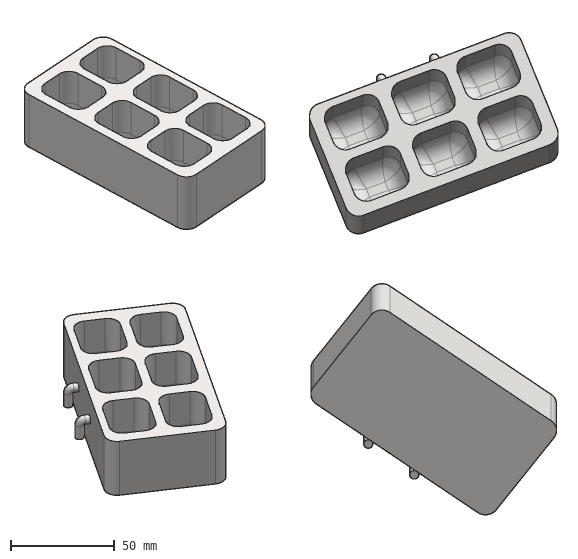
import cadquery as cq

length = 109.5
width = 60.0
height = 31.8
block_corner_radius = 6.5

pocket_length = 28.0
pocket_width = 22.9
pocket_depth = 28.5
pocket_corner_radius = 6.4
pocket_floor_radius = 9.2
row_count = 2
row_pitch = 27.7
front_pocket_centres = [(-34.4, -13.0), (0.3, -13.3), (34.3, -12.9)]

pin_diameter = 4.5
pin_bend_radius = 2.4
pin_bend_angle = 90
pin_reach = 7.1
pin_height = 17.6
pin_tip_height = 7.8
pin_xs = [-13.6, 13.9]


def make_block():
    block = cq.Workplane("XY").box(length, width, height, centered=(True, True, False))
    return block.edges("|Z").fillet(block_corner_radius)


def make_pocket(x, y):
    """Rounded rectangular cavity whose floor blends into its walls."""
    floor_z = height - pocket_depth
    cavity = (
        cq.Workplane("XY", origin=(x, y, floor_z))
        .rect(pocket_length, pocket_width)
        .extrude(pocket_depth)
        .edges("|Z")
        .fillet(pocket_corner_radius)
    )
    return cavity.faces("<Z").edges().fillet(pocket_floor_radius)


def make_pin(x):
    """Round pin that leaves the back face and turns down through a right angle."""
    back_y = width / 2
    axis_y = back_y + pin_reach - pin_diameter / 2
    bend_y = axis_y - pin_bend_radius
    bend_z = pin_height - pin_bend_radius
    arm = (
        cq.Workplane("XZ", origin=(x, bend_y, pin_height))
        .circle(pin_diameter / 2)
        .extrude(bend_y - back_y)
    )
    elbow = (
        cq.Workplane("XY", origin=(x, axis_y, bend_z))
        .circle(pin_diameter / 2)
        .revolve(pin_bend_angle, (0, -pin_bend_radius, 0), (1, -pin_bend_radius, 0))
    )
    leg = (
        cq.Workplane("XY", origin=(x, axis_y, pin_tip_height))
        .circle(pin_diameter / 2)
        .extrude(bend_z - pin_tip_height)
    )
    return arm.union(elbow).union(leg)


result = make_block()
for column_x, front_y in front_pocket_centres:
    for row in range(row_count):
        result = result.cut(make_pocket(column_x, front_y + row * row_pitch))
for pin_x in pin_xs:
    result = result.union(make_pin(pin_x))